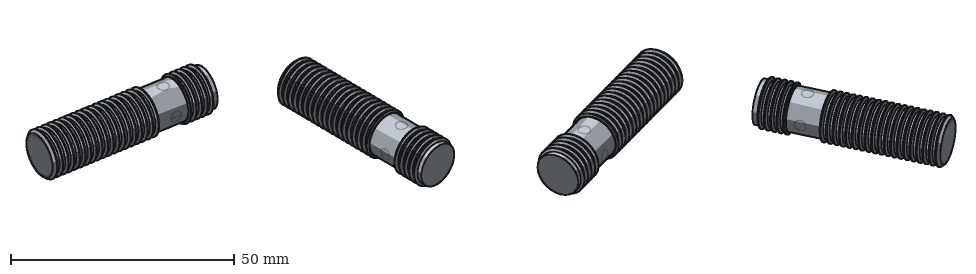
import cadquery as cq
import math

LENGTH = 44.5
CREST_RADIUS = 6.0
ROOT_RADIUS = 5.35
FRONT_CHAMFER_LENGTH = 0.7

CREST_WIDTH = 0.2
FLANK_ANGLE = 30.0
FLANK_WIDTH = (CREST_RADIUS - ROOT_RADIUS) * math.tan(math.radians(FLANK_ANGLE))
RIDGE_HALF_BASE = CREST_WIDTH / 2 + FLANK_WIDTH

FRONT_RIDGE_COUNT = 19
FRONT_THREAD_START = FRONT_CHAMFER_LENGTH + CREST_WIDTH / 2
FRONT_THREAD_SPAN = 27.37

REAR_RIDGE_COUNT = 5
REAR_THREAD_START = 36.85
REAR_THREAD_SPAN = 6.0

NECK_START = 28.55
NECK_END = 36.5
NECK_CLEARANCE = 0.45

FACE_DISC_DIAMETER = 9.65
FACE_DISC_DEPTH = 0.9
WINDOW_DIAMETER = 2.8
WINDOW_Y = 33.25
WINDOW_COUNT = 4


def along_y(start):
    """Sketch plane across the barrel axis; extrusions run toward +Y."""
    return cq.Workplane(cq.Plane((0, start, 0), (1, 0, 0), (0, 1, 0)))


def revolve_about_y(points):
    """Turn a half-profile of (radius, Y) points about the barrel axis."""
    profile = cq.Workplane("XY").polyline(points).close()
    return profile.revolve(360, (0, 0, 0), (0, 1, 0))


def make_core():
    return along_y(0).circle(ROOT_RADIUS).extrude(LENGTH)


def make_nose():
    """Cone that chamfers the front end up to the first crest."""
    return revolve_about_y([
        (0, 0),
        (ROOT_RADIUS, 0),
        (CREST_RADIUS, FRONT_CHAMFER_LENGTH),
        (0, FRONT_CHAMFER_LENGTH),
    ])


def make_ridge(centre):
    """One closed thread ridge, as a full disc so that it overlaps the core."""
    return revolve_about_y([
        (0, centre - RIDGE_HALF_BASE),
        (ROOT_RADIUS, centre - RIDGE_HALF_BASE),
        (CREST_RADIUS, centre - CREST_WIDTH / 2),
        (CREST_RADIUS, centre + CREST_WIDTH / 2),
        (ROOT_RADIUS, centre + RIDGE_HALF_BASE),
        (0, centre + RIDGE_HALF_BASE),
    ])


def add_thread(body, start, span, count):
    """Add evenly spaced ridges; span runs from first to last crest centre."""
    pitch = span / (count - 1)
    for i in range(count):
        body = body.union(make_ridge(start + i * pitch))
    return body


def make_neck_relief():
    """Ring that clears everything above the root diameter along the neck."""
    outer_radius = CREST_RADIUS + NECK_CLEARANCE
    return along_y(NECK_START).circle(outer_radius).circle(ROOT_RADIUS).extrude(NECK_END - NECK_START)


def make_face_disc():
    return along_y(0).circle(FACE_DISC_DIAMETER / 2).extrude(FACE_DISC_DEPTH)


def make_window(angle):
    """Radial plug whose outer end follows the neck surface."""
    plug = (
        cq.Workplane("XY")
        .center(0, WINDOW_Y)
        .circle(WINDOW_DIAMETER / 2)
        .extrude(CREST_RADIUS)
        .intersect(make_core())
    )
    return plug.rotate((0, 0, 0), (0, 1, 0), angle)


body = make_core().union(make_nose())
body = add_thread(body, FRONT_THREAD_START, FRONT_THREAD_SPAN, FRONT_RIDGE_COUNT)
body = add_thread(body, REAR_THREAD_START, REAR_THREAD_SPAN, REAR_RIDGE_COUNT)
body = body.cut(make_neck_relief())

body = body.union(make_face_disc(), clean=False)
for i in range(WINDOW_COUNT):
    body = body.union(make_window(i * 360 / WINDOW_COUNT), clean=False)

result = body